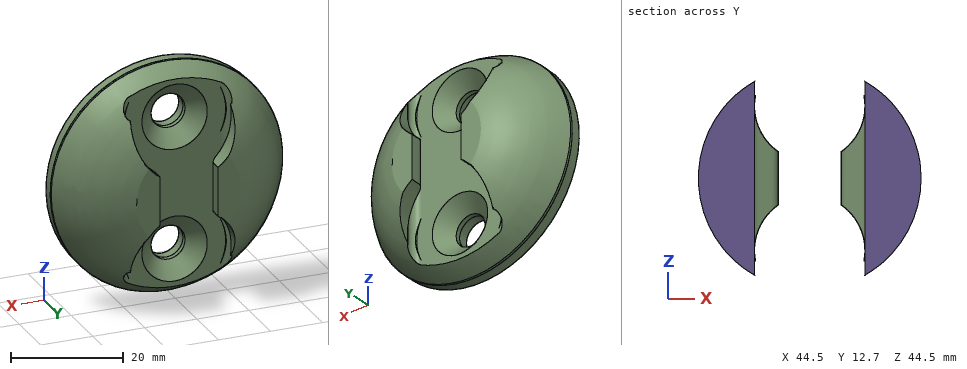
import cadquery as cq
import math

outer_radius = 22.25
total_depth = 12.7
pad_thickness = 2.0
rim_end = 2.5

dome_mid_radius = 18.6
dome_mid_depth = 7.7
crown_radius = 10.05

hole_radius = 3.25
hole_offset = 12.75
countersink_start = 3.0

slot_floor = 6.0
slot_half_width = 10.3
slot_edge_radius = 1.45
throat_half_width = 5.55
lip_corner_depth = 9.65
lip_slope = 0.2
lip_radius = 1.35
clearance_radius = 9.8

hole_places = [-hole_offset, hole_offset]
cut_margin = 2.22


def cylinder_along_y(radius, start, end, z=0.0):
    return cq.Workplane(cq.Solid.makeCylinder(
        radius, end - start, cq.Vector(0, start, z), cq.Vector(0, 1, 0)))


def cut_screw_holes(body):
    for z in hole_places:
        body = body.cut(cylinder_along_y(hole_radius, 0, total_depth, z))
    return body


def make_pad():
    return cut_screw_holes(cylinder_along_y(outer_radius, 0, pad_thickness))


def make_dome():
    return (
        cq.Workplane("XY")
        .moveTo(0, pad_thickness)
        .lineTo(outer_radius, pad_thickness)
        .lineTo(outer_radius, rim_end)
        .threePointArc((dome_mid_radius, dome_mid_depth), (crown_radius, total_depth))
        .lineTo(0, total_depth)
        .close()
        .revolve(360, (0, 0, 0), (0, 1, 0))
    )


def make_half_slot():
    """Slot on the +X side of the YZ plane, with a rounded edge below the lip."""
    slope_angle = math.atan(lip_slope)
    edge_x = slot_half_width - slot_edge_radius
    edge_y = slot_floor + slot_edge_radius
    arc_end_x = edge_x + slot_edge_radius * math.sin(slope_angle)
    arc_end_y = edge_y + slot_edge_radius * math.cos(slope_angle)
    slot_top = total_depth + cut_margin
    half_length = outer_radius + cut_margin
    slot = (
        cq.Workplane("XY")
        .workplane(offset=-half_length)
        .moveTo(0, slot_floor)
        .lineTo(edge_x, slot_floor)
        .threePointArc((slot_half_width, edge_y), (arc_end_x, arc_end_y))
        .lineTo(throat_half_width, lip_corner_depth)
        .lineTo(throat_half_width, slot_top)
        .lineTo(0, slot_top)
        .close()
        .extrude(2 * half_length)
    )
    lip_edge = cq.selectors.NearestToPointSelector((throat_half_width, lip_corner_depth, 0))
    return slot.edges(lip_edge).fillet(lip_radius)


def make_countersink(z):
    """45 degree cone that opens from the hole to the slot floor."""
    depth = slot_floor - countersink_start
    return cq.Workplane(cq.Solid.makeCone(
        hole_radius, hole_radius + depth, depth,
        cq.Vector(0, countersink_start, z), cq.Vector(0, 1, 0)))


def make_holder():
    half_slot = make_half_slot()
    holder = make_dome().cut(half_slot).cut(half_slot.mirror("YZ"))
    for z in hole_places:
        holder = holder.cut(cylinder_along_y(clearance_radius, slot_floor, total_depth, z))
        holder = holder.cut(make_countersink(z))
    return cut_screw_holes(holder)


pad = make_pad()
holder = make_holder()

result = cq.Compound.makeCompound([pad.val(), *holder.solids().vals()])